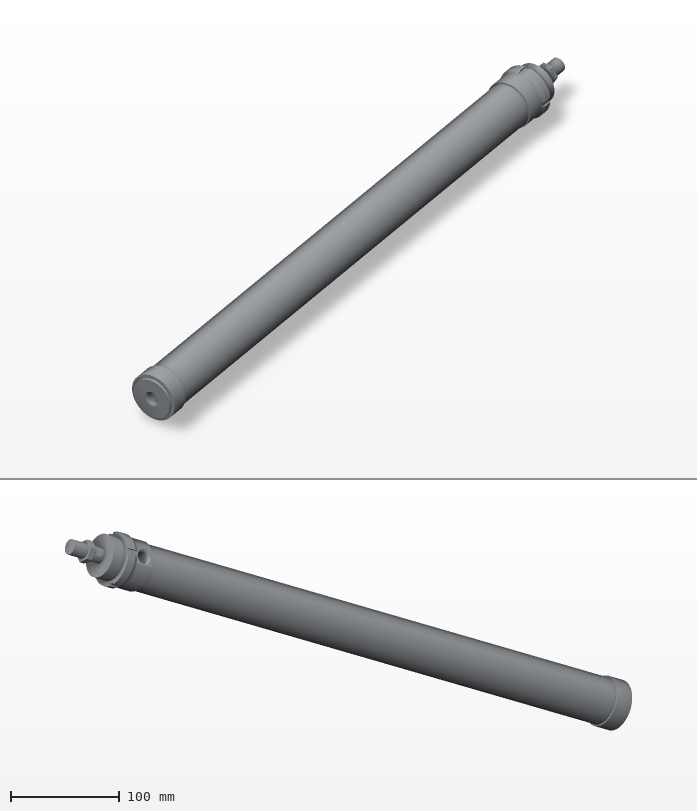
import cadquery as cq
import math


rod_tip_y = 642.0
nose_face_y = 607.0
front_cap_front_y = 581.5
front_cap_rear_y = 563.5
rear_cap_front_y = 20.0
rear_boss_depth = 2.5

tube_diameter = 45.0
cap_diameter = 48.0
nose_diameter = 42.0
rear_boss_diameter = 41.0

port_diameter = 11.5
port_chamfer = 1.6
port_depth = 13.0
drill_point_angle = 118.0
port_y = (front_cap_front_y + front_cap_rear_y) / 2
port_flat_x = -tube_diameter / 2

rod_diameter = 15.0
rod_socket_depth = 19.0
rod_flat_width = 13.0
rod_flat_length = 6.5
rod_flat_gap = 1.0

hex_across_flats = 19.0
hex_nut_thickness = 7.0
hex_nut_front_y = 626.0
hex_nut_rear_y = hex_nut_front_y - hex_nut_thickness
hex_nut_chamfer = 2.0

ring_nut_diameter = 52.0
ring_nut_thickness = 11.5
ring_nut_chamfer_length = 4.0
ring_nut_chamfer_depth = 2.0
slot_count = 4
slot_width = 5.0
slot_depth = 2.0


def cylinder_along_y(diameter, y_start, y_end):
    """Solid cylinder on the Y axis between two Y positions."""
    return cq.Workplane(cq.Solid.makeCylinder(
        diameter / 2, y_end - y_start, cq.Vector(0, y_start, 0), cq.Vector(0, 1, 0)
    ))


def port_cutter():
    """Chamfered, flat-bottomed hole going up the Y axis from a mouth at y = 0."""
    mouth_radius = port_diameter / 2 + port_chamfer
    mouth = cq.Workplane(cq.Solid.makeCone(
        mouth_radius, port_diameter / 2, port_chamfer, cq.Vector(0, 0, 0), cq.Vector(0, 1, 0)
    ))
    return mouth.union(cylinder_along_y(port_diameter, 0, port_depth))


def drill_point():
    """Cone left by the drill at the bottom of the rear port."""
    point_length = port_diameter / 2 / math.tan(math.radians(drill_point_angle / 2))
    return cq.Workplane(cq.Solid.makeCone(
        port_diameter / 2, 0, point_length, cq.Vector(0, port_depth, 0), cq.Vector(0, 1, 0)
    ))


def make_body():
    body = cylinder_along_y(rear_boss_diameter, 0, rear_boss_depth)
    body = body.union(cylinder_along_y(cap_diameter, rear_boss_depth, rear_cap_front_y))
    body = body.union(cylinder_along_y(tube_diameter, rear_cap_front_y, front_cap_rear_y))
    body = body.union(cylinder_along_y(cap_diameter, front_cap_rear_y, front_cap_front_y))
    body = body.union(cylinder_along_y(nose_diameter, front_cap_front_y, nose_face_y))

    flat_cutter = cq.Workplane("XY").box(
        cap_diameter, front_cap_front_y - front_cap_rear_y, cap_diameter
    ).translate((port_flat_x - cap_diameter / 2, port_y, 0))
    body = body.cut(flat_cutter)

    side_port = port_cutter().rotate((0, 0, 0), (0, 0, 1), -90).translate((port_flat_x, port_y, 0))
    body = body.cut(side_port)
    body = body.cut(port_cutter()).cut(drill_point())

    return body.cut(cylinder_along_y(rod_diameter, nose_face_y - rod_socket_depth, nose_face_y))


def make_rod():
    rod = cylinder_along_y(rod_diameter, nose_face_y - rod_socket_depth, rod_tip_y)
    for side in (-1, 1):
        flat_cutter = cq.Workplane("XY").box(rod_diameter, rod_flat_length, rod_diameter).translate((
            side * (rod_flat_width + rod_diameter) / 2,
            hex_nut_rear_y - rod_flat_gap - rod_flat_length / 2,
            0,
        ))
        rod = rod.cut(flat_cutter)
    return rod


def make_hex_nut():
    corner_radius = hex_across_flats / math.sqrt(3)
    nut = (
        cq.Workplane("XZ", origin=(0, hex_nut_front_y, 0))
        .polygon(6, 2 * corner_radius)
        .extrude(hex_nut_thickness)
    )
    envelope = cylinder_along_y(2 * corner_radius, hex_nut_rear_y, hex_nut_front_y)
    envelope = envelope.faces("<Y").chamfer(hex_nut_chamfer)
    return nut.intersect(envelope).cut(cylinder_along_y(rod_diameter, hex_nut_rear_y, hex_nut_front_y))


def make_ring_nut():
    rear_y = front_cap_front_y
    front_y = rear_y + ring_nut_thickness
    outer_radius = ring_nut_diameter / 2
    nut = (
        cq.Workplane("XY")
        .polyline([
            (nose_diameter / 2, rear_y),
            (outer_radius - ring_nut_chamfer_depth, rear_y),
            (outer_radius, rear_y + ring_nut_chamfer_length),
            (outer_radius, front_y),
            (nose_diameter / 2, front_y),
        ])
        .close()
        .revolve(360, (0, 0, 0), (0, 1, 0))
    )
    slot = cq.Workplane("XY").box(2 * slot_depth, ring_nut_thickness, slot_width).translate(
        (outer_radius, (rear_y + front_y) / 2, 0)
    )
    for index in range(slot_count):
        nut = nut.cut(slot.rotate((0, 0, 0), (0, 1, 0), index * 360 / slot_count))
    return nut


body = make_body()
rod = make_rod()
hex_nut = make_hex_nut()
ring_nut = make_ring_nut()

result = cq.Compound.makeCompound([body.val(), rod.val(), hex_nut.val(), ring_nut.val()])